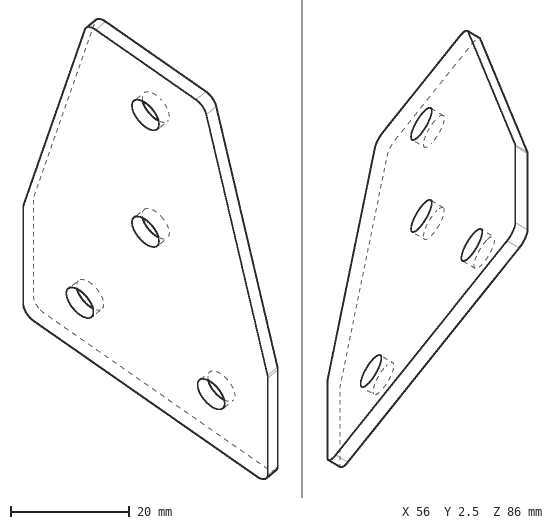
import cadquery as cq

width = 56.0
height = 86.0
thickness = 2.5

top_width = 26.8
shoulder_height = 27.7
corner_radius = 2.5

hole_diameter = 6.2
hole_pitch = 30.0
lower_hole_height = 13.0


def plate():
    """Tapered plate with every corner of the outline rounded."""
    outline = [
        (-width / 2, 0),
        (width / 2, 0),
        (width / 2, shoulder_height),
        (top_width / 2, height),
        (-top_width / 2, height),
        (-width / 2, shoulder_height),
    ]
    blank = cq.Workplane("XZ").polyline(outline).close().extrude(thickness)
    return blank.edges("|Y").fillet(corner_radius)


def holes():
    """Two holes side by side at the bottom and two on the centre line above."""
    centres = [(side * hole_pitch / 2, lower_hole_height) for side in (-1, 1)]
    centres += [(0, lower_hole_height + step * hole_pitch) for step in (1, 2)]
    return cq.Workplane("XZ").pushPoints(centres).circle(hole_diameter / 2).extrude(thickness)


result = plate().cut(holes())